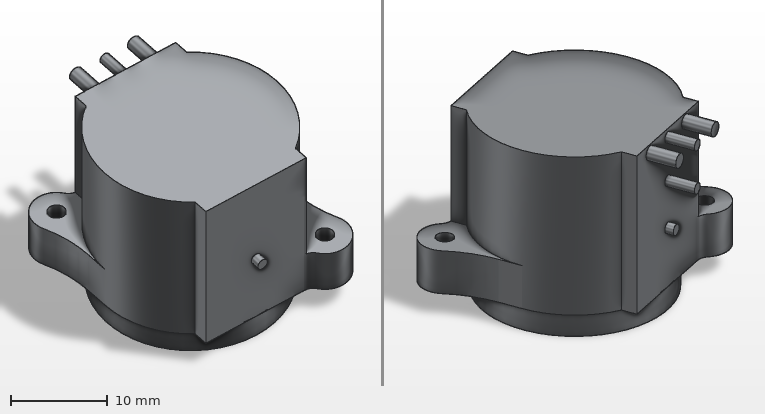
import cadquery as cq
import math

total_height = 21.5
base_height = 2.7
lug_thickness = 5.1

base_radius = 11.0
drum_radius = 11.3
block_half_x = 11.0
block_half_y = 6.6

hole_spacing = 28.0
hole_diameter = 2.0
lug_radius = 2.9
sweep_radius = 15.0
root_radius = 1.5

terminal_end_x = -14.5
left_stud_end_x = -12.0
right_stud_end_x = 12.1
thick_pin_diameter = 1.65
thin_pin_diameter = 1.25
thick_pin_y = 3.8
top_terminal_z = 20.5
middle_terminal_z = 15.35
left_stud_z = 9.75
right_stud_z = 10.95

lug_center = hole_spacing / 2 * math.sqrt(0.5)
body_height = total_height - base_height


def toward(start, end, distance):
    """Point at the given distance from start on the line to end."""
    span = math.dist(start, end)
    return tuple(a + (b - a) * distance / span for a, b in zip(start, end))


def arc_middle(center, start, end, radius):
    """Middle point of the shorter arc from start to end about center."""
    chord_middle = tuple((a + b) / 2 for a, b in zip(start, end))
    return toward(center, chord_middle, radius)


def lug_outline():
    """Closed outline of the +X +Y lug, running back to the part's axis."""
    center = (lug_center, lug_center)

    sweep_y = drum_radius + sweep_radius
    sweep_dx = math.sqrt((sweep_radius + lug_radius) ** 2 - (sweep_y - lug_center) ** 2)
    sweep_center = (lug_center - sweep_dx, sweep_y)
    sweep_start = (sweep_center[0], drum_radius)
    sweep_end = toward(center, sweep_center, lug_radius)
    sweep_middle = arc_middle(sweep_center, sweep_start, sweep_end, sweep_radius)

    root_x = block_half_x + root_radius
    root_dy = math.sqrt((root_radius + lug_radius) ** 2 - (root_x - lug_center) ** 2)
    root_center = (root_x, lug_center - root_dy)
    root_start = toward(center, root_center, lug_radius)
    root_end = (block_half_x, root_center[1])
    root_middle = arc_middle(root_center, root_start, root_end, root_radius)

    lug_tip = toward(center, (2 * lug_center, 2 * lug_center), lug_radius)
    return (
        cq.Workplane("XY")
        .workplane(offset=base_height)
        .moveTo(0, 0)
        .lineTo(0, drum_radius)
        .lineTo(*sweep_start)
        .threePointArc(sweep_middle, sweep_end)
        .threePointArc(lug_tip, root_start)
        .threePointArc(root_middle, root_end)
        .lineTo(block_half_x, 0)
        .close()
    )


def lug(angle):
    """Lug plate with its root arc carried up the block's corner, turned about Z."""
    plate = lug_outline().extrude(lug_thickness)
    strip_length = 2 * (block_half_x + root_radius)
    block_strip = (
        cq.Workplane("XY")
        .workplane(offset=base_height)
        .rect(strip_length, 2 * block_half_y)
        .extrude(body_height)
    )
    corner = lug_outline().extrude(body_height).intersect(block_strip)
    return plate.union(corner).rotate((0, 0, 0), (0, 0, 1), angle)


def lug_hole(side):
    """Through hole at the lug on the given side, +1 or -1."""
    return (
        cq.Workplane("XY")
        .workplane(offset=base_height)
        .center(side * lug_center, side * lug_center)
        .circle(hole_diameter / 2)
        .extrude(lug_thickness)
    )


def pin(diameter, y, z, end_x):
    """Round pin along X, from the part's axis out to end_x."""
    return cq.Workplane("YZ").center(y, z).circle(diameter / 2).extrude(end_x)


def body():
    """Base disc with the drum and its flat-sided block on top."""
    base = cq.Workplane("XY").circle(base_radius).extrude(base_height)
    upper = cq.Workplane("XY").workplane(offset=base_height)
    block = upper.rect(2 * block_half_x, 2 * block_half_y).extrude(body_height)
    drum_limit = upper.rect(2 * block_half_x, 2 * drum_radius).extrude(body_height)
    drum = upper.circle(drum_radius).extrude(body_height).intersect(drum_limit)
    return base.union(drum).union(block)


result = body()
for lug_angle in (0, 180):
    result = result.union(lug(lug_angle))
for hole_side in (1, -1):
    result = result.cut(lug_hole(hole_side))

pins = [
    (thick_pin_diameter, thick_pin_y, top_terminal_z, terminal_end_x),
    (thick_pin_diameter, -thick_pin_y, top_terminal_z, terminal_end_x),
    (thin_pin_diameter, 0, top_terminal_z, terminal_end_x),
    (thin_pin_diameter, 0, middle_terminal_z, terminal_end_x),
    (thin_pin_diameter, 0, left_stud_z, left_stud_end_x),
    (thin_pin_diameter, 0, right_stud_z, right_stud_end_x),
]
for pin_sizes in pins:
    result = result.union(pin(*pin_sizes))